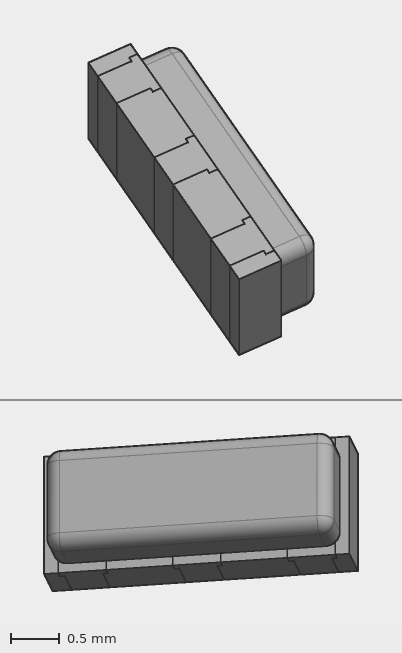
import cadquery as cq

length = 3.2
depth = 1.0
height = 1.3

base_depth = depth / 2

terminal_count = 3
terminal_width = 0.4
terminal_pitch = 1.2
flange_overhang = 0.05
flange_thickness = 0.1

lens_inset = 0.1
lens_radius = 0.15

terminal_centers = [
    (i - (terminal_count - 1) / 2) * terminal_pitch for i in range(terminal_count)
]


def make_base_block():
    """Plain block with its front face at Y = 0 and its bottom at Z = 0."""
    return cq.Workplane("XY").box(length, base_depth, height, centered=(True, False, False))


def make_terminal(center_x):
    """Stem from the front face, widened to a flange at the back face of the base."""
    across = (True, False, False)
    stem = cq.Workplane("XY").box(terminal_width, base_depth, height, centered=across)
    flange_width = terminal_width + 2 * flange_overhang
    flange = (
        cq.Workplane("XY")
        .box(flange_width, flange_thickness, height, centered=across)
        .translate((0, base_depth - flange_thickness, 0))
    )
    return stem.union(flange).translate((center_x, 0, 0))


def make_insulators(terminals):
    """Base pieces left beside and between the terminals, each a separate solid."""
    block = make_base_block()
    for terminal in terminals:
        block = block.cut(terminal)
    return block.solids()


def make_lens():
    """Block on the back of the base, rounded on every edge except those at the base."""
    return (
        cq.Workplane("XY")
        .box(
            length - 2 * lens_inset,
            depth - base_depth,
            height - 2 * lens_inset,
            centered=(True, False, False),
        )
        .translate((0, base_depth, lens_inset))
        .edges("|Y or >Y")
        .fillet(lens_radius)
    )


terminals = [make_terminal(center_x) for center_x in terminal_centers]
insulators = make_insulators(terminals)
lens = make_lens()

result = cq.Compound.makeCompound(
    [lens.val(), *insulators.vals(), *[terminal.val() for terminal in terminals]]
)